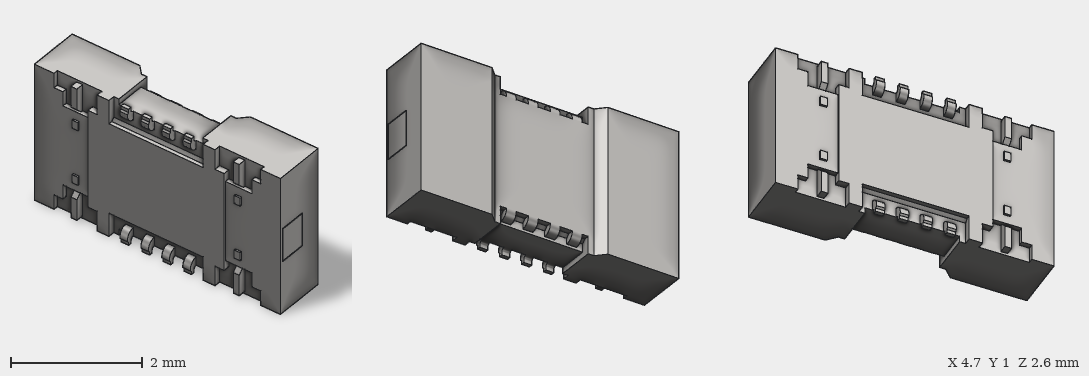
import cadquery as cq


body_length = 4.69
body_width = 2.6
body_depth = 0.945
total_depth = 1.0
half_width = body_width / 2

plate_depth = 0.978
plate_half_length = 1.295
plate_neck_half_length = 1.125
plate_shoulder_z = 0.925

channel_depth = 0.155
channel_half_length = 0.902
channel_bevel = 0.15

notch_half_length = 0.8
notch_floor_z = 1.195

window_half_length = 0.9
window_edge_z = 0.855
window_floor_depth = 0.855
window_slope = 0.05

lead_in_end_depth = 0.31
lead_in_slope = 0.055

contact_pitch = 0.4
contact_count = 4
tail_length = 0.145
tail_root_z = 1.03
tail_arc_end_z = 1.185
tail_arc_radius = 0.16
tail_flat_end_z = 1.213
tail_tip_z = 1.24
tail_tip_step = 0.03
tail_inner_radius = 0.05
rear_contact_length = 0.18
rear_contact_drop = 0.045
rear_contact_radius = lead_in_end_depth - channel_depth

pocket_floor_depth = 0.86
pocket_outer_x = 1.97
pocket_step_x = 1.8
pocket_step_z = 1.025
pocket_bottom_z = 0.755
lug_center_x = 1.545
lug_length = 0.115
lug_top_z = 1.255
lug_slope = 0.105

pad_center_z = 0.52
pad_width = 0.155

end_pad_thickness = 0.01
end_pad_width = 0.62
end_pad_rear_depth = 0.405
end_pad_front_depth = 0.9


def block(x_range, depth_range, z_range):
    """Box between two x positions, two depths from the rear and two z positions."""
    return (
        cq.Workplane("XY")
        .box(
            x_range[1] - x_range[0],
            depth_range[1] - depth_range[0],
            z_range[1] - z_range[0],
            centered=False,
        )
        .translate((x_range[0], -depth_range[1], z_range[0]))
    )


def across(profile, x_center, length):
    """Extrude a profile drawn on the YZ plane along X, centred on x_center."""
    return profile.close().extrude(length / 2, both=True).translate((x_center, 0, 0))


def mirrored_z(shape):
    return shape.union(shape.mirror("XY"))


def mirrored_xz(shape):
    return mirrored_z(shape.union(shape.mirror("YZ")))


def rear_channel():
    top_half_length = channel_half_length + channel_bevel
    return (
        cq.Workplane("XY")
        .moveTo(-top_half_length, 0)
        .lineTo(-channel_half_length, -channel_depth)
        .lineTo(channel_half_length, -channel_depth)
        .lineTo(top_half_length, 0)
        .close()
        .extrude(half_width, both=True)
    )


def corner_pockets():
    depths = (pocket_floor_depth, body_depth)
    upper = block((0, pocket_outer_x), depths, (pocket_step_z, half_width))
    lower = block((0, pocket_step_x), depths, (pocket_bottom_z, half_width))
    return mirrored_xz(upper.union(lower))


def centre_plate():
    depths = (pocket_floor_depth, plate_depth)
    wide = block(
        (-plate_half_length, plate_half_length), depths, (-plate_shoulder_z, plate_shoulder_z)
    )
    neck = block(
        (-plate_neck_half_length, plate_neck_half_length), depths, (-half_width, half_width)
    )
    return wide.union(neck)


def edge_notches():
    return mirrored_z(
        block((-notch_half_length, notch_half_length), (0, total_depth), (notch_floor_z, half_width))
    )


def windows():
    profile = (
        cq.Workplane("YZ")
        .moveTo(-total_depth, window_edge_z)
        .lineTo(-window_floor_depth - window_slope, window_edge_z)
        .lineTo(-window_floor_depth, window_edge_z + window_slope)
        .lineTo(-window_floor_depth, half_width)
        .lineTo(-total_depth, half_width)
    )
    return mirrored_z(across(profile, 0, 2 * window_half_length))


def lead_in_steps():
    step_z = notch_floor_z - rear_contact_drop - rear_contact_radius
    profile = (
        cq.Workplane("YZ")
        .moveTo(-lead_in_end_depth, notch_floor_z)
        .lineTo(-lead_in_end_depth, step_z + lead_in_slope)
        .lineTo(-lead_in_end_depth + lead_in_slope, step_z)
        .lineTo(-channel_depth, step_z)
        .lineTo(-channel_depth, notch_floor_z)
    )
    return mirrored_z(across(profile, 0, 2 * notch_half_length))


def contact_tail(x_center):
    """Curved tail that rises from the window floor and hooks over the long edge."""
    tip_depth = total_depth - tail_tip_step
    inner_depth = window_floor_depth + tail_inner_radius
    profile = (
        cq.Workplane("YZ")
        .moveTo(-window_floor_depth, tail_root_z)
        .radiusArc((-total_depth, tail_arc_end_z), tail_arc_radius)
        .lineTo(-total_depth, tail_flat_end_z)
        .lineTo(-tip_depth, tail_tip_z)
        .lineTo(-tip_depth, half_width)
        .lineTo(-inner_depth, half_width)
        .lineTo(-inner_depth, notch_floor_z + tail_inner_radius)
        .radiusArc((-window_floor_depth, notch_floor_z), -tail_inner_radius)
    )
    return across(profile, x_center, tail_length)


def rear_contact(x_center):
    """Quarter-round contact that fills the lead-in step down to the channel floor."""
    top_z = notch_floor_z - rear_contact_drop
    root_z = top_z - rear_contact_radius
    profile = (
        cq.Workplane("YZ")
        .moveTo(-lead_in_end_depth, top_z)
        .radiusArc((-channel_depth, root_z), rear_contact_radius)
        .lineTo(-lead_in_end_depth, root_z)
    )
    return across(profile, x_center, rear_contact_length)


def solder_lugs():
    slope_end_depth = total_depth - lug_slope
    profile = (
        cq.Workplane("YZ")
        .moveTo(-pocket_floor_depth, lug_top_z)
        .lineTo(-total_depth, lug_top_z)
        .lineTo(-total_depth, pocket_bottom_z + lug_slope)
        .lineTo(-slope_end_depth, pocket_bottom_z)
        .lineTo(-pocket_floor_depth, pocket_bottom_z)
    )
    return mirrored_xz(across(profile, lug_center_x, lug_length))


def mounting_pads():
    pad = block(
        (lug_center_x - lug_length / 2, lug_center_x + lug_length / 2),
        (body_depth, plate_depth),
        (pad_center_z - pad_width / 2, pad_center_z + pad_width / 2),
    )
    return mirrored_xz(pad)


def end_pad():
    return block(
        (body_length / 2, body_length / 2 + end_pad_thickness),
        (end_pad_rear_depth, end_pad_front_depth),
        (-end_pad_width / 2, end_pad_width / 2),
    )


housing = block(
    (-body_length / 2, body_length / 2), (0, body_depth), (-half_width, half_width)
)
housing = housing.cut(rear_channel()).cut(corner_pockets()).union(centre_plate())
housing = housing.cut(edge_notches()).cut(windows()).cut(lead_in_steps())

result = housing.union(solder_lugs()).union(mounting_pads()).union(end_pad())

for index in range(contact_count):
    contact_x = (index - (contact_count - 1) / 2) * contact_pitch
    result = result.union(mirrored_z(contact_tail(contact_x)))
    result = result.union(mirrored_z(rear_contact(contact_x)))